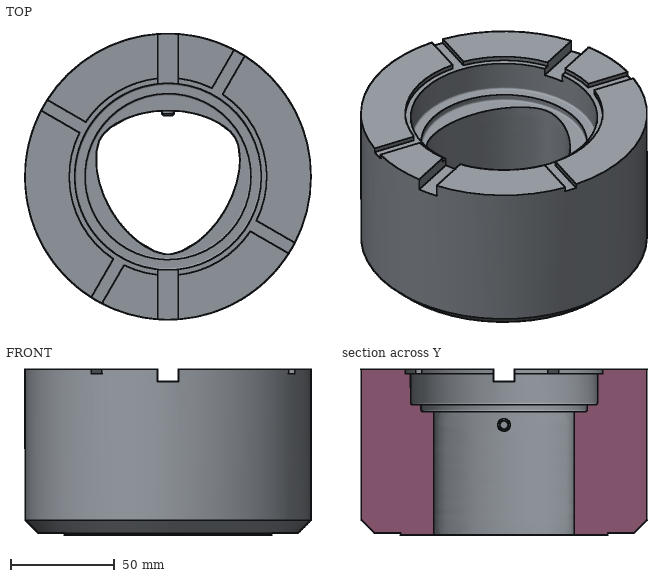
import cadquery as cq
import math

outer_diameter = 138.0
height = 80.0
bottom_chamfer = 6.3
pad_diameter = 100.0
pad_height = 1.0

recess_diameter = 95.2
recess_depth = 2.2
bore_diameter = 90.0
bore_depth = 17.1
step_diameter = 80.0
step_depth = 20.4
corner_break = 1.0

wide_slot_width = 10.0
wide_slot_depth = 6.0
narrow_slot_width = 6.0
narrow_slot_angles = (60, 150)

lobe_width = 69.3
lobe_eccentricity = 2.8

pin_diameter = 6.0
pin_tip_y = 29.3
pin_embed = 5.5
pin_chamfer = 1.0
pin_depth = 26.9


def make_body():
    """Turned outside shape with a raised pad underneath."""
    pad = cq.Workplane("XY").circle(pad_diameter / 2).extrude(pad_height)
    drum = (
        cq.Workplane("XY", origin=(0, 0, pad_height))
        .circle(outer_diameter / 2)
        .extrude(height - pad_height)
        .faces("<Z")
        .chamfer(bottom_chamfer)
    )
    return drum.union(pad)


def round_pocket(diameter, depth):
    return (
        cq.Workplane("XY", origin=(0, 0, height - depth))
        .circle(diameter / 2)
        .extrude(depth)
    )


def bore_pocket(diameter, depth):
    """Round pocket with a rounded corner at its floor."""
    return round_pocket(diameter, depth).faces("<Z").edges().fillet(corner_break)


def slot_across(width, depth, angle):
    """Straight slot through the axis, turned by angle from the X axis."""
    return (
        cq.Workplane("XY", origin=(0, 0, height - depth))
        .rect(2 * outer_diameter, width)
        .extrude(depth)
        .rotate((0, 0, 0), (0, 0, 1), angle)
    )


def lobe_point(turn):
    """Point on a constant-width curve whose lobes lie at 30, 150 and 270 degrees."""
    angle = 2 * math.pi * turn
    support = lobe_width / 2 + lobe_eccentricity * math.sin(3 * angle)
    slope = 3 * lobe_eccentricity * math.cos(3 * angle)
    x = support * math.cos(angle) - slope * math.sin(angle)
    y = support * math.sin(angle) + slope * math.cos(angle)
    return (x, y)


def make_lobed_hole():
    lobe_samples = 48
    points = [lobe_point(i / lobe_samples) for i in range(lobe_samples)]
    return cq.Workplane("XY").spline(points, periodic=True).close().extrude(height)


def make_pin():
    """Chamfered pin pointing from the +Y wall towards the axis."""
    wall_y = lobe_width / 2 - lobe_eccentricity
    root_y = wall_y + pin_embed
    return (
        cq.Workplane("XZ", origin=(0, root_y, height - pin_depth))
        .circle(pin_diameter / 2)
        .extrude(root_y - pin_tip_y)
        .faces("<Y")
        .chamfer(pin_chamfer)
    )


result = make_body()
result = result.cut(round_pocket(recess_diameter, recess_depth))
result = result.cut(bore_pocket(bore_diameter, bore_depth))
result = result.cut(bore_pocket(step_diameter, step_depth))
result = result.cut(slot_across(wide_slot_width, wide_slot_depth, 90))
for slot_angle in narrow_slot_angles:
    result = result.cut(slot_across(narrow_slot_width, recess_depth, slot_angle))
result = result.cut(make_lobed_hole())
result = result.union(make_pin())